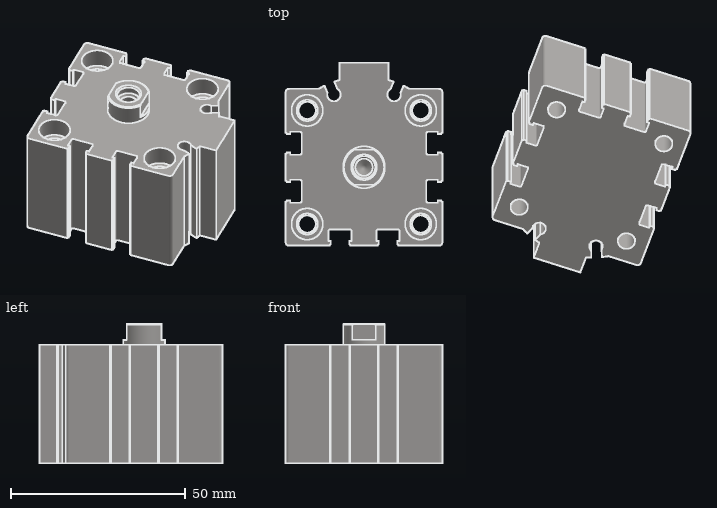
import cadquery as cq
import math

side = 45.0
half_side = side / 2
total_height = 40.0
rod_projection = 6.0
housing_height = total_height - rod_projection
corner_radius = 1.0

tab_width = 14.2
total_depth = 52.5
tab_reach = total_depth - half_side
shoulder_radius = 26.0
shoulder_span = 2 * math.sqrt(shoulder_radius**2 - half_side**2)

groove_angle = 22.5
groove_center_radius = 22.5
groove_diameter = 3.8
groove_mouth = 3.0

slot_offset = 6.9
slot_mouth = 5.2
slot_width = 6.55
slot_depth = 4.6
lip_thickness = 1.4
lip_radius = 0.35
slot_inner_radius = 0.4

mount_offset = 16.3
mount_diameter = 4.95
mount_bore_diameter = 9.0
mount_bore_depth = 5.8
mount_sink_diameter = 6.1

rod_diameter = 12.0
rod_embedding = 10.0
rod_chamfer = 0.25
flat_spacing = 10.05
flat_height = 4.6
rod_mouth_diameter = 7.35
rod_bore_diameter = 6.4
rod_bore_depth = 2.55
rod_drill_diameter = 4.95
rod_drill_depth = 10.0
drill_tip_angle = 118

rod_top = total_height
rod_bottom = housing_height - rod_embedding


def block(x_size, y_size, height, x_center=0.0, y_center=0.0):
    """Box standing on Z = 0 with its centre at the given X and Y."""
    return (
        cq.Workplane("XY")
        .center(x_center, y_center)
        .rect(x_size, y_size)
        .extrude(height)
    )


def make_outline():
    """Square block joined to the round shoulder and the tab on its +Y side."""
    square = block(side, side, housing_height).edges("|Z").fillet(corner_radius)
    shoulder = (
        cq.Workplane("XY")
        .circle(shoulder_radius)
        .extrude(housing_height)
        .intersect(block(shoulder_span, shoulder_radius, housing_height, 0, shoulder_radius / 2))
    )
    tab = block(tab_width, tab_reach, housing_height, 0, tab_reach / 2)
    return square.union(shoulder).union(tab)


def slot_cutter():
    """T-slot cut into the -Y side at X = 0, with rounded lips at its mouth."""
    pocket_depth = slot_depth - lip_thickness
    pocket_y = -half_side + lip_thickness + pocket_depth / 2
    pocket = block(slot_width, pocket_depth, housing_height, 0, pocket_y)
    pocket = pocket.edges("|Z and >Y").fillet(slot_inner_radius)
    half_mouth = slot_mouth / 2
    mouth = (
        cq.Workplane("XY")
        .moveTo(-half_mouth - lip_radius, -half_side)
        .radiusArc((-half_mouth, -half_side + lip_radius), lip_radius)
        .lineTo(-half_mouth, -half_side + slot_depth / 2)
        .lineTo(half_mouth, -half_side + slot_depth / 2)
        .lineTo(half_mouth, -half_side + lip_radius)
        .radiusArc((half_mouth + lip_radius, -half_side), lip_radius)
        .close()
        .extrude(housing_height)
    )
    return pocket.union(mouth)


def groove_cutter():
    """Round sensor groove on the +Y axis with a narrower mouth that opens outwards."""
    bore = (
        cq.Workplane("XY")
        .center(0, groove_center_radius)
        .circle(groove_diameter / 2)
        .extrude(housing_height)
    )
    mouth_length = 2 * (shoulder_radius - groove_center_radius)
    mouth_y = groove_center_radius + mouth_length / 2
    mouth = block(groove_mouth, mouth_length, housing_height, 0, mouth_y)
    return bore.union(mouth)


def turned(profile):
    """Solid of revolution about Z from (radius, Z) points."""
    return cq.Workplane("XZ").polyline(profile).close().revolve(360, (0, 0, 0), (0, 1, 0))


def mount_cutter():
    """Through hole with a counterbore and a 45 degree countersink at its floor."""
    floor = housing_height - mount_bore_depth
    sink_depth = (mount_sink_diameter - mount_diameter) / 2
    return turned([
        (0, 0),
        (mount_diameter / 2, 0),
        (mount_diameter / 2, floor - sink_depth),
        (mount_sink_diameter / 2, floor),
        (mount_bore_diameter / 2, floor),
        (mount_bore_diameter / 2, housing_height),
        (0, housing_height),
    ])


def rod_hole_cutter():
    """Blind hole: chamfered mouth, threaded length, conical step and pointed drill end."""
    mouth_depth = (rod_mouth_diameter - rod_bore_diameter) / 2
    step_depth = (rod_bore_diameter - rod_drill_diameter) / 2
    tip_depth = rod_drill_diameter / 2 / math.tan(math.radians(drill_tip_angle / 2))
    step_top = rod_top - rod_bore_depth
    drill_end = rod_top - rod_drill_depth
    return turned([
        (0, rod_top),
        (rod_mouth_diameter / 2, rod_top),
        (rod_bore_diameter / 2, rod_top - mouth_depth),
        (rod_bore_diameter / 2, step_top),
        (rod_drill_diameter / 2, step_top - step_depth),
        (rod_drill_diameter / 2, drill_end),
        (0, drill_end - tip_depth),
    ])


def rod_cylinder():
    """Plain rod, also used to open the matching hole in the housing."""
    return (
        cq.Workplane("XY", origin=(0, 0, rod_bottom))
        .circle(rod_diameter / 2)
        .extrude(rod_top - rod_bottom)
    )


def make_housing():
    body = make_outline()
    for side_angle in (-90, 0, 90):
        for offset in (-slot_offset, slot_offset):
            slot = slot_cutter().translate((offset, 0, 0))
            body = body.cut(slot.rotate((0, 0, 0), (0, 0, 1), side_angle))
    for angle in (-groove_angle, groove_angle):
        body = body.cut(groove_cutter().rotate((0, 0, 0), (0, 0, 1), angle))
    for x in (-mount_offset, mount_offset):
        for y in (-mount_offset, mount_offset):
            body = body.cut(mount_cutter().translate((x, y, 0)))
    return body.cut(rod_cylinder())


def make_rod():
    body = rod_cylinder().faces(">Z").chamfer(rod_chamfer)
    flat_cut = (rod_diameter - flat_spacing) / 2
    for direction in (-1, 1):
        flat_y = direction * (flat_spacing + flat_cut) / 2
        flat = block(rod_diameter, flat_cut, flat_height, 0, flat_y)
        body = body.cut(flat.translate((0, 0, rod_top - flat_height)))
    return body.cut(rod_hole_cutter())


housing = make_housing()
rod = make_rod()

result = cq.Compound.makeCompound([housing.val(), rod.val()])